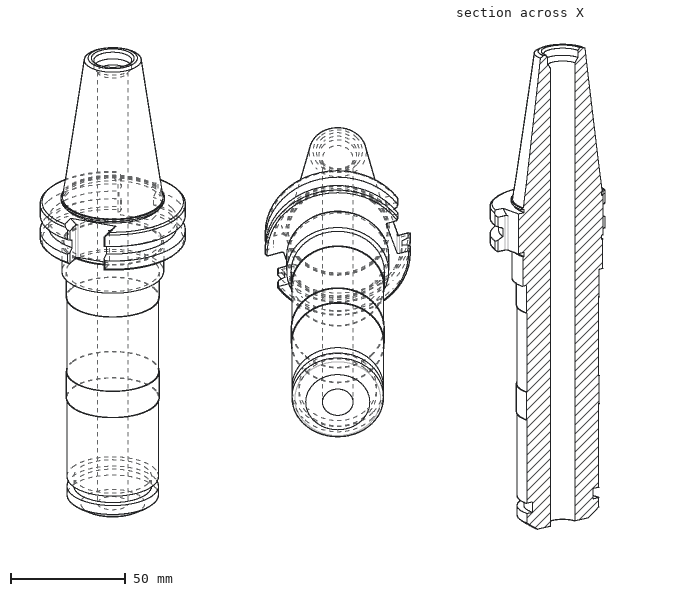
import cadquery as cq

total_height = 214.6
taper_bottom = 147.5
collar_bottom = 146.5
flange_top = 145.3
flange_bottom = 127.0
shoulder_top = 125.4
shoulder_bottom = 111.8
upper_band_bottom = 99.4
lower_band_top = 63.5
lower_band_bottom = 50.9
ring_groove_top = 12.9
ring_groove_bottom = 8.4
foot_rim_bottom = 4.0
foot_cone_top = 3.0

taper_top_diameter = 25.0
taper_bottom_diameter = 43.8
tip_face_diameter = 21.5
collar_diameter = 45.0
shoulder_diameter = 44.5
neck_diameter = 43.0
flange_diameter = 63.3
band_diameter = 40.5
shank_diameter = 40.0
ring_groove_diameter = 34.0
foot_cone_diameter = 37.3
foot_diameter = 28.0

tip_chamfer_height = 0.9
flange_chamfer = 0.9
groove_diameter = 56.0
groove_rim_top = 138.9
groove_floor_top = 137.2
groove_floor_bottom = 133.5
groove_rim_bottom = 131.8

slot_width = 16.0
front_slot_floor = 22.3
back_slot_floor = 24.7
slot_top_chamfer = 2.5
slot_edge_chamfer = 0.9
slot_corner_radius = 0.9

bore_diameter = 13.3
counterbore_diameter = 16.5
countersink_diameter = 18.7
countersink_depth = 1.0
counterbore_depth = 4.3
bore_cone_height = 2.1


def revolve_profile(points):
    """Revolve (diameter, z) points about Z, closing the outline along the axis."""
    outline = [(diameter / 2, z) for diameter, z in points]
    bottom, top = outline[0][1], outline[-1][1]
    profile = cq.Workplane("XZ").polyline([(0, bottom)] + outline + [(0, top)]).close()
    return profile.revolve(360, (0, 0, 0), (0, 1, 0))


def make_body():
    flange_face_diameter = flange_diameter - 2 * flange_chamfer
    return revolve_profile([
        (foot_diameter, 0),
        (foot_cone_diameter, foot_cone_top),
        (shank_diameter, foot_rim_bottom),
        (shank_diameter, ring_groove_bottom),
        (ring_groove_diameter, ring_groove_bottom),
        (ring_groove_diameter, ring_groove_top),
        (shank_diameter, ring_groove_top),
        (shank_diameter, lower_band_bottom),
        (band_diameter, lower_band_bottom),
        (band_diameter, lower_band_top),
        (shank_diameter, lower_band_top),
        (shank_diameter, upper_band_bottom),
        (band_diameter, upper_band_bottom),
        (band_diameter, shoulder_bottom),
        (shoulder_diameter, shoulder_bottom),
        (shoulder_diameter, shoulder_top),
        (neck_diameter, shoulder_top),
        (neck_diameter, flange_bottom),
        (flange_face_diameter, flange_bottom),
        (flange_diameter, flange_bottom + flange_chamfer),
        (flange_diameter, groove_rim_bottom),
        (groove_diameter, groove_floor_bottom),
        (groove_diameter, groove_floor_top),
        (flange_diameter, groove_rim_top),
        (flange_diameter, flange_top - flange_chamfer),
        (flange_face_diameter, flange_top),
        (neck_diameter, flange_top),
        (neck_diameter, collar_bottom),
        (collar_diameter, collar_bottom),
        (collar_diameter, taper_bottom),
        (taper_bottom_diameter, taper_bottom),
        (taper_top_diameter, total_height - tip_chamfer_height),
        (tip_face_diameter, total_height),
    ])


def make_bore():
    counterbore_floor = total_height - counterbore_depth
    return revolve_profile([
        (bore_diameter, 0),
        (bore_diameter, counterbore_floor - bore_cone_height),
        (counterbore_diameter, counterbore_floor),
        (counterbore_diameter, total_height - countersink_depth),
        (countersink_diameter, total_height),
    ])


def make_slot(floor):
    """Slot on the +Y side: straight walls, rounded floor corners, flared top and outer edges."""
    half_width = slot_width / 2
    outer_y = flange_diameter / 2
    depth = outer_y - floor

    channel = (
        cq.Workplane("XY", origin=(0, 0, flange_bottom))
        .center(0, floor + depth / 2)
        .rect(slot_width, depth)
        .extrude(flange_top - flange_bottom)
        .edges("|Z and <Y")
        .fillet(slot_corner_radius)
    )

    top_section = [
        (-half_width, flange_top - slot_top_chamfer),
        (half_width, flange_top - slot_top_chamfer),
        (half_width + slot_top_chamfer, flange_top),
        (-half_width - slot_top_chamfer, flange_top),
    ]
    top_flare = cq.Workplane("XZ", origin=(0, floor, 0)).polyline(top_section).close().extrude(-depth)

    edge_x = half_width + slot_edge_chamfer
    edge_y = (outer_y**2 - edge_x**2) ** 0.5
    edge_flare = (
        cq.Workplane("XY", origin=(0, 0, flange_bottom))
        .polyline([
            (-half_width, edge_y - slot_edge_chamfer),
            (half_width, edge_y - slot_edge_chamfer),
            (half_width + 2 * slot_edge_chamfer, edge_y + slot_edge_chamfer),
            (-half_width - 2 * slot_edge_chamfer, edge_y + slot_edge_chamfer),
        ])
        .close()
        .extrude(flange_top - flange_bottom)
    )
    return channel.union(top_flare).union(edge_flare)


front_slot = make_slot(front_slot_floor).rotate((0, 0, 0), (0, 0, 1), 180)
back_slot = make_slot(back_slot_floor)
result = make_body().cut(make_bore()).cut(front_slot).cut(back_slot)